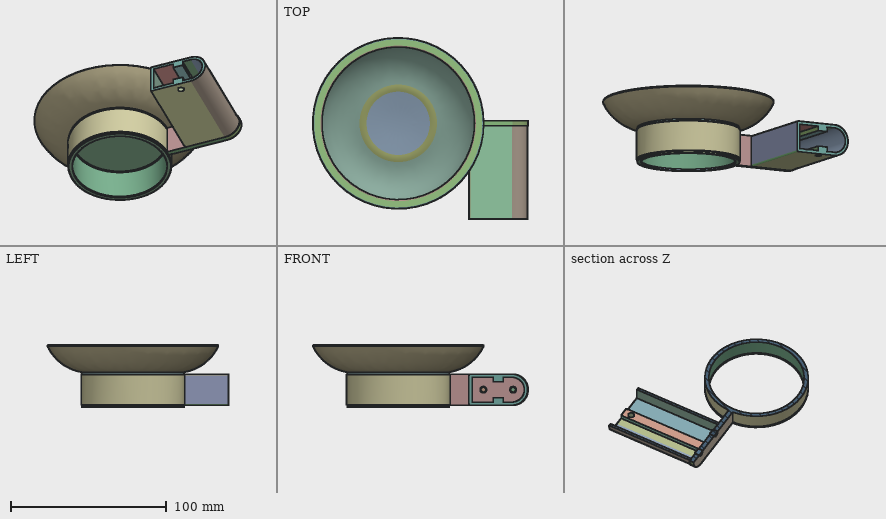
import cadquery as cq
import math


washer_thickness = 1.1
ring_height = 20.1
ring_bottom = washer_thickness
ring_top = ring_bottom + ring_height
ring_middle = ring_bottom + ring_height / 2
dish_bottom = ring_top + washer_thickness
dish_height = 17.7
dish_top = dish_bottom + dish_height

ring_radius = 33.4
ring_bore_radius = 30.5
ring_chamfer = 0.48
washer_radius = ring_radius - ring_chamfer

dish_radius = 55.0
bowl_radius = 50.0
rim_round = 1.0
outer_bulge_radius = 46.1
outer_bulge_drop = 11.9
bowl_bulge_radius = 40.5
bowl_bulge_depth = 9.3
crest_outer_radius = 24.9
crest_inner_radius = 20.3
crest_edge_depth = 12.5
crest_depth = 12.2
dip_depth = 13.8

plate_thickness = 3.3
plate_front = -plate_thickness / 2
plate_end = 83.5
end_radius = ring_height / 2

tube_end = 83.0
tube_width = 37.6
tube_left = tube_end - tube_width
tube_middle = tube_end - tube_width / 2
tube_front = -61.5
tube_length = plate_front - tube_front
tube_wall = 2.1
tube_edge_round = 1.0
lug_width = 6.6
lug_height = 2.9
set_screw_hole_radius = 2.0
set_screw_hole_inset = 5.5

stud_radius = 2.1
stud_chamfer = 0.48
stud_spacing = 19.1


def d_section(left, end, radius, back, length):
    """Bar with a square left side and a round right end, running from y = back toward -Y."""
    round_centre = end - radius
    return (
        cq.Workplane("XZ", origin=(0, back, ring_middle))
        .moveTo(left, -radius)
        .lineTo(round_centre, -radius)
        .threePointArc((end, 0), (round_centre, radius))
        .lineTo(left, radius)
        .close()
        .extrude(length)
    )


def stud_positions():
    return [tube_middle - stud_spacing / 2, tube_middle + stud_spacing / 2]


def stud_cylinder(x, length):
    """Stud-sized cylinder running from the back face of the plate toward -Y."""
    return (
        cq.Workplane("XZ", origin=(x, plate_thickness / 2, ring_middle))
        .circle(stud_radius)
        .extrude(length)
    )


def make_dish():
    """Round dish: convex outside, flat rim, and a bowl with a shallow dip inside a low crest."""
    rim_diagonal = rim_round * (1 - math.sqrt(0.5))
    crest_middle_radius = (crest_outer_radius + crest_inner_radius) / 2
    dip = dip_depth - crest_edge_depth
    dip_sphere_radius = (crest_inner_radius**2 + dip**2) / (2 * dip)
    dip_middle_radius = crest_inner_radius / 2
    dip_middle_rise = dip_sphere_radius - math.sqrt(dip_sphere_radius**2 - dip_middle_radius**2)
    return (
        cq.Workplane("XZ", origin=(0, 0, dish_top))
        .moveTo(0, -dish_height)
        .lineTo(washer_radius, -dish_height)
        .threePointArc((outer_bulge_radius, -outer_bulge_drop), (dish_radius, -rim_round))
        .threePointArc((dish_radius - rim_diagonal, -rim_diagonal), (dish_radius - rim_round, 0))
        .lineTo(bowl_radius, 0)
        .threePointArc(
            (bowl_radius - rim_round + rim_diagonal, -rim_diagonal),
            (bowl_radius - rim_round, -rim_round),
        )
        .threePointArc((bowl_bulge_radius, -bowl_bulge_depth), (crest_outer_radius, -crest_edge_depth))
        .threePointArc((crest_middle_radius, -crest_depth), (crest_inner_radius, -crest_edge_depth))
        .threePointArc((dip_middle_radius, dip_middle_rise - dip_depth), (0, -dip_depth))
        .close()
        .revolve(360, (0, 0), (0, 1))
    )


def make_holder():
    """Ring that carries the dish, in one piece with the arm plate."""
    bore = cq.Workplane("XY", origin=(0, 0, ring_bottom)).circle(ring_bore_radius).extrude(ring_height)
    ring = (
        cq.Workplane("XY", origin=(0, 0, ring_bottom))
        .circle(ring_radius)
        .extrude(ring_height)
        .edges()
        .chamfer(ring_chamfer)
    )
    plate = d_section(0, plate_end, end_radius, plate_thickness / 2, plate_thickness)
    holder = ring.union(plate).cut(bore)
    for x in stud_positions():
        holder = holder.cut(stud_cylinder(x, plate_thickness))
    return holder


def make_washer(bottom):
    return (
        cq.Workplane("XY", origin=(0, 0, bottom))
        .circle(washer_radius)
        .circle(ring_bore_radius)
        .extrude(washer_thickness)
    )


def make_tube():
    """D-shaped tube with two facing lugs and a set screw hole up through the lower one."""
    outside = (
        d_section(tube_left, tube_end, end_radius, plate_front, tube_length)
        .edges("|Y and <X")
        .fillet(tube_edge_round)
    )
    cavity_radius = end_radius - tube_wall
    cavity = d_section(tube_left + tube_wall, tube_end - tube_wall, cavity_radius, plate_front, tube_length)
    lug_offset = cavity_radius - lug_height / 2
    lugs = (
        cq.Workplane("XZ", origin=(tube_middle, plate_front, ring_middle))
        .pushPoints([(0, -lug_offset), (0, lug_offset)])
        .rect(lug_width, lug_height)
        .extrude(tube_length)
    )
    set_screw_hole = (
        cq.Workplane("XY", origin=(tube_middle, tube_front + set_screw_hole_inset, ring_bottom))
        .circle(set_screw_hole_radius)
        .extrude(tube_wall + lug_height)
    )
    return outside.cut(cavity.cut(lugs)).cut(set_screw_hole)


def make_stud(x):
    """Stud that fills its plate hole; only its chamfered tip stands out into the tube."""
    return stud_cylinder(x, plate_thickness + stud_chamfer).faces("<Y").chamfer(stud_chamfer)


dish = make_dish()
holder = make_holder()
washers = [make_washer(bottom) for bottom in (0, ring_top)]
tube = make_tube()
studs = [make_stud(x) for x in stud_positions()]

bodies = [dish, holder, *washers, tube, *studs]
result = cq.Compound.makeCompound([body.val() for body in bodies])